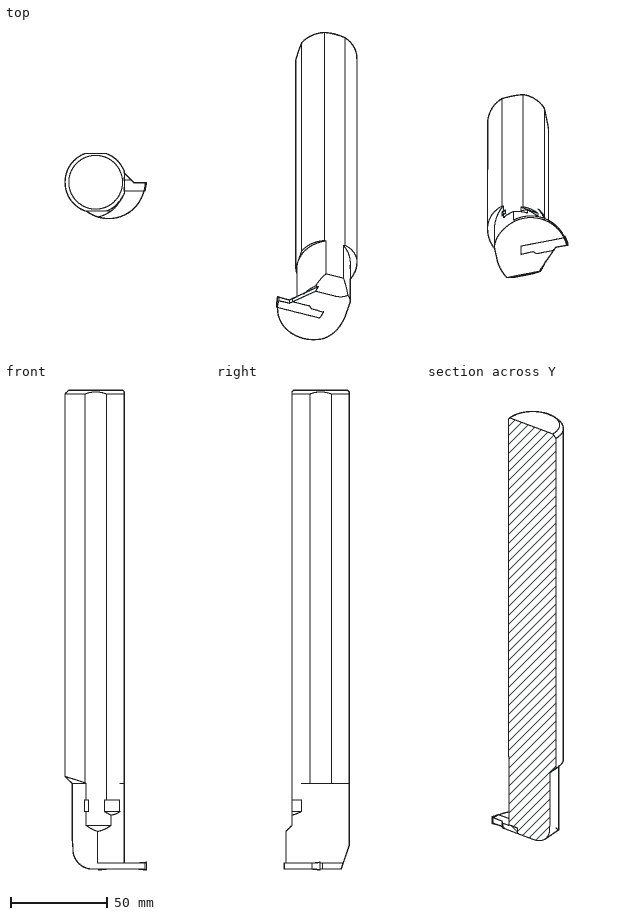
import cadquery as cq
import math

total_height = 250.0
shank_radius = 16.0
side_flat = 15.0
right_flat = 15.0
end_chamfer = 2.0

head_radius = 19.0
head_center_x = 6.8
neck_top = 45.0
head_left = head_center_x - head_radius
cone_height = head_left + shank_radius

wall_radius = 17.5
wall_center_y = -1.0
wall_center_x = right_flat - wall_radius
flat_bottom = 23.2

disc_bottom = 0.5
disc_top = 3.8
disc_corner_sum = 19.8

round_height = 11.5
round_inset = 0.38
round_run = 9.5
bevel_height = 15.8

relief_height = 13.0
relief_depth = 4.2

pocket_bottom = 30.5
pocket_top = 36.5
wall_top = pocket_bottom
right_pocket_edge = ((4.5, -side_flat), (12.5, -10.0))
left_pocket_edge = ((-5.8, -14.0), (-3.8, -side_flat))
pocket_reach = 5.0

insert_left = 1.5
total_width = 42.5
insert_right = total_width - shank_radius
insert_back = 1.12
insert_front = -4.5
rake_y = -0.2
rake_slope_end = disc_corner_sum - rake_y
tip_length = 4.5
tip_top = 4.12
tip_relief = 0.8
tip_side_relief = 0.5


def cylinder(center_x, radius, bottom, top):
    return cq.Workplane("XY", origin=(center_x, 0, bottom)).circle(radius).extrude(top - bottom)


def block(x_range, y_range, z_range):
    corner = (x_range[0], y_range[0], z_range[0])
    size = [ends[1] - ends[0] for ends in (x_range, y_range, z_range)]
    return cq.Workplane("XY").box(*size, centered=False).translate(corner)


def prism_along_x(points):
    """Extrude a (Y, Z) outline across the full width of the bar."""
    half_width = 2 * head_radius
    return cq.Workplane("YZ").polyline(points).close().extrude(half_width, both=True)


def neck_prism(bottom, top):
    """Lens-shaped section between the offset head cylinder and the front wall."""
    front_wall = cylinder(wall_center_x, wall_radius, bottom, top).translate((0, wall_center_y, 0))
    return cylinder(head_center_x, head_radius, bottom, top).intersect(front_wall)


def make_shank():
    bar = cylinder(0, shank_radius, wall_top, total_height).faces(">Z").chamfer(end_chamfer)
    flats = block((-shank_radius, right_flat), (-side_flat, side_flat), (wall_top, total_height))
    bar = bar.intersect(flats)
    cone_top = neck_top + cone_height
    neck = neck_prism(wall_top, neck_top)
    cone = (
        cq.Workplane("XY", origin=(head_center_x, 0, neck_top))
        .circle(head_radius)
        .workplane(offset=cone_height)
        .circle(head_radius + cone_height)
        .loft(ruled=True)
    )
    shoulder = bar.intersect(neck).union(bar.intersect(cone))
    full_bar = block((-shank_radius, right_flat), (-side_flat, side_flat), (cone_top, total_height))
    return shoulder.union(bar.intersect(full_bar))


def make_head():
    wall = neck_prism(disc_top, wall_top)
    ramp_depth = head_radius - side_flat
    envelope = prism_along_x([
        (-side_flat, wall_top),
        (-side_flat, flat_bottom),
        (-head_radius, flat_bottom - ramp_depth),
        (-head_radius, disc_bottom),
        (side_flat - relief_depth, disc_bottom),
        (side_flat, relief_height),
        (side_flat, wall_top),
    ])
    disc = cylinder(head_center_x, head_radius, disc_bottom, disc_top)
    head = wall.union(disc.cut(disc_rear_corner())).intersect(envelope)
    return head.cut(edge_round())


def disc_rear_corner():
    """Region behind the 45 degree edge of the disc and its rake level."""
    far = 2 * head_radius
    return (
        cq.Workplane("XY", origin=(0, 0, disc_bottom))
        .polyline([
            (disc_corner_sum - far, far),
            (rake_slope_end, rake_y),
            (far, rake_y),
            (far, far),
        ])
        .close()
        .extrude(disc_top - disc_bottom)
    )


def edge_round():
    """Material outside the bevelled and rounded lower left edge of the head."""
    start = (head_left + round_inset, round_height)
    end = (head_left + round_inset + round_run, disc_bottom)
    diagonal = math.sqrt(0.5)
    middle = (
        end[0] - round_run * diagonal,
        start[1] - (round_height - disc_bottom) * diagonal,
    )
    outside = -2 * head_radius
    below = -disc_bottom
    return (
        cq.Workplane("XZ")
        .moveTo(head_left, bevel_height)
        .lineTo(*start)
        .threePointArc(middle, end)
        .lineTo(end[0], below)
        .lineTo(outside, below)
        .lineTo(outside, bevel_height)
        .close()
        .extrude(2 * head_radius, both=True)
    )


def pocket(edge, ramp):
    """Cut outside a vertical plane through edge; its floor falls outward at 45 degrees if ramp."""
    (x0, y0), (x1, y1) = edge
    length = math.hypot(x1 - x0, y1 - y0)
    angle = math.degrees(math.atan2(y1 - y0, x1 - x0))
    drop = pocket_reach if ramp else 0
    cutter = (
        cq.Workplane("YZ")
        .polyline([
            (0, pocket_bottom),
            (-pocket_reach, pocket_bottom - drop),
            (-pocket_reach, pocket_top),
            (0, pocket_top),
        ])
        .close()
        .extrude(length)
    )
    return cutter.rotate((0, 0, 0), (0, 0, 1), angle).translate((x0, y0, 0))


def make_insert():
    middle_x = (insert_left + insert_right) / 2
    shoulder_x = disc_corner_sum - insert_back
    right_half = [
        (middle_x, insert_back),
        (shoulder_x, insert_back),
        (rake_slope_end, rake_y),
        (insert_right - tip_length, rake_y),
        (insert_right - tip_length, insert_front),
        (middle_x, insert_front),
    ]
    bar = (
        cq.Workplane("XY", origin=(0, 0, disc_bottom))
        .polyline(right_half)
        .close()
        .extrude(disc_top - disc_bottom)
    )
    tip = (
        cq.Workplane("XZ", origin=(0, rake_y, 0))
        .polyline([
            (insert_right - tip_length, disc_bottom),
            (insert_right, 0),
            (insert_right, tip_top),
            (insert_right - tip_length, disc_top),
        ])
        .close()
        .workplane(offset=rake_y - insert_front)
        .polyline([
            (insert_right - tip_length, disc_bottom),
            (insert_right - tip_relief, tip_side_relief),
            (insert_right - tip_relief, tip_top - tip_side_relief),
            (insert_right - tip_length, disc_top),
        ])
        .close()
        .loft(ruled=True)
    )
    half = bar.union(tip)
    return half.union(half.mirror("YZ", (middle_x, 0, 0)))


insert = make_insert()
holder = make_shank().union(make_head())
holder = holder.cut(pocket(right_pocket_edge, ramp=True))
holder = holder.cut(pocket(left_pocket_edge, ramp=False))
holder = holder.cut(insert)

result = cq.Compound.makeCompound([holder.solids().val(), insert.solids().val()])